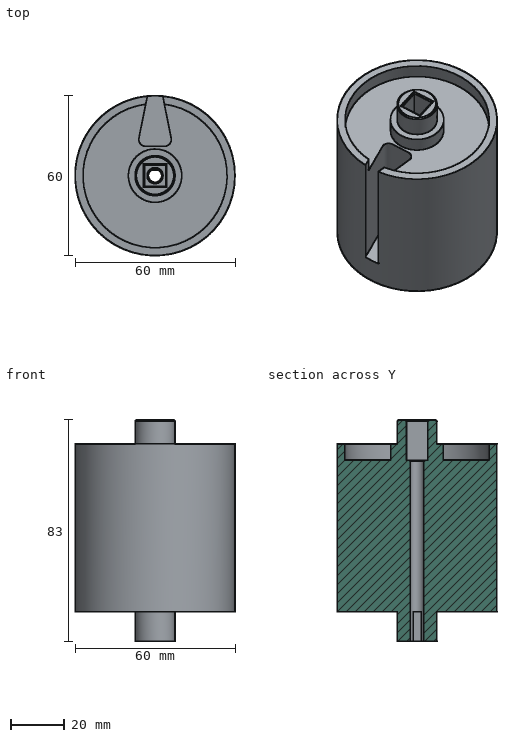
import cadquery as cq
import math

TOTAL_HEIGHT = 83.0
BODY_DIAMETER = 60.0
BODY_BOTTOM = 11.0
RIM_TOP = 74.0
RECESS_DIAMETER = 54.0
RECESS_DEPTH = 6.0
COLLAR_DIAMETER = 20.0
PIN_DIAMETER = 15.0
EDGE_CHAMFER = 0.5

SLOT_INNER_Y = 11.0
SLOT_INNER_WIDTH = 13.3
SLOT_RIM_WIDTH = 5.7
SLOT_DEPTH = 51.6
SLOT_CORNER_RADIUS = 2.5

SOCKET_WIDTH = 7.9
SOCKET_DEPTH = 15.0
BORE_DIAMETER = 5.0
BORE_FLAT_Y = 2.0
D_BORE_LENGTH = BODY_BOTTOM

BODY_RADIUS = BODY_DIAMETER / 2
BORE_RADIUS = BORE_DIAMETER / 2
SOCKET_FLOOR = TOTAL_HEIGHT - SOCKET_DEPTH


def cylinder(diameter, bottom, top):
    """Vertical cylinder on the part axis."""
    return cq.Workplane("XY").workplane(offset=bottom).circle(diameter / 2).extrude(top - bottom)


def make_body():
    """Drum with a recessed top, a collar flush with the rim and a pin at each end."""
    drum = cylinder(BODY_DIAMETER, BODY_BOTTOM, RIM_TOP)
    recess = cylinder(RECESS_DIAMETER, RIM_TOP - RECESS_DEPTH, RIM_TOP)
    collar = cylinder(COLLAR_DIAMETER, RIM_TOP - RECESS_DEPTH, RIM_TOP)
    pin = cylinder(PIN_DIAMETER, 0, TOTAL_HEIGHT).faces(">Z").chamfer(EDGE_CHAMFER)
    return drum.cut(recess).union(collar).union(pin)


def make_slot():
    """Slot that narrows towards the rim, with rounded inner corners."""
    inner_half = SLOT_INNER_WIDTH / 2
    rim_half = SLOT_RIM_WIDTH / 2
    return (
        cq.Workplane("XY")
        .workplane(offset=RIM_TOP - SLOT_DEPTH)
        .polyline(
            [
                (-inner_half, SLOT_INNER_Y),
                (inner_half, SLOT_INNER_Y),
                (rim_half, BODY_RADIUS),
                (-rim_half, BODY_RADIUS),
            ]
        )
        .close()
        .extrude(SLOT_DEPTH)
        .edges("|Z and <Y")
        .fillet(SLOT_CORNER_RADIUS)
    )


def make_socket():
    """Square socket with a chamfered mouth."""
    mouth_width = SOCKET_WIDTH + 2 * EDGE_CHAMFER
    socket = (
        cq.Workplane("XY")
        .workplane(offset=SOCKET_FLOOR)
        .rect(SOCKET_WIDTH, SOCKET_WIDTH)
        .extrude(SOCKET_DEPTH)
    )
    mouth = (
        cq.Workplane("XY")
        .workplane(offset=TOTAL_HEIGHT - EDGE_CHAMFER)
        .rect(SOCKET_WIDTH, SOCKET_WIDTH)
        .workplane(offset=EDGE_CHAMFER)
        .rect(mouth_width, mouth_width)
        .loft(combine=True)
    )
    return socket.union(mouth)


def make_bore():
    """Round bore with a conical lead-in at the socket floor, ending in a D-shaped bore."""
    flat_half = math.sqrt(BORE_RADIUS**2 - BORE_FLAT_Y**2)
    d_bore = (
        cq.Workplane("XY")
        .moveTo(-flat_half, BORE_FLAT_Y)
        .threePointArc((0, -BORE_RADIUS), (flat_half, BORE_FLAT_Y))
        .close()
        .extrude(D_BORE_LENGTH)
    )
    round_bore = cylinder(BORE_DIAMETER, D_BORE_LENGTH, SOCKET_FLOOR)
    lead_in = (
        cq.Workplane("XY")
        .workplane(offset=SOCKET_FLOOR - EDGE_CHAMFER)
        .circle(BORE_RADIUS)
        .workplane(offset=EDGE_CHAMFER)
        .circle(BORE_RADIUS + EDGE_CHAMFER)
        .loft(combine=True)
    )
    return d_bore.union(round_bore).union(lead_in)


result = make_body().cut(make_slot()).cut(make_socket()).cut(make_bore())